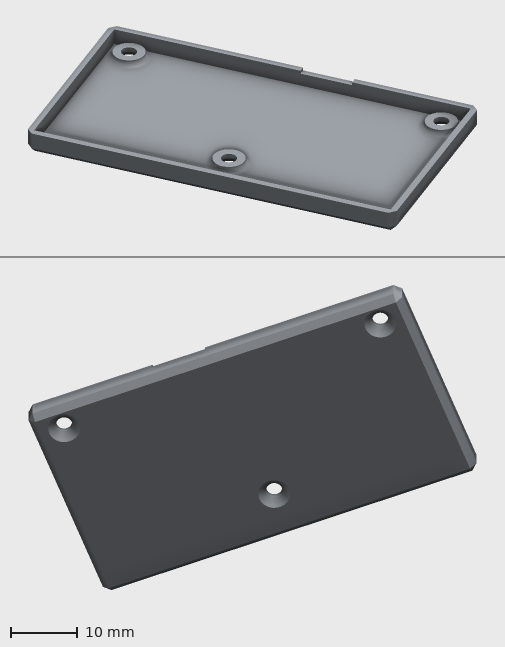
import cadquery as cq
length = 60.0
width = 33.0
height = 3.6
wall = 1.0
floor = 1.0
edge_chamfer = 1.0

boss_top_diameter = 5.0
boss_flare = 1.0
hole_spacing_x = 50.8
hole_spacing_y = 22.0
rear_hole_mid_x = -0.1
rear_hole_y = 12.9
front_hole_x = 0.0
boss_centers = [
    (rear_hole_mid_x - hole_spacing_x / 2, rear_hole_y),
    (rear_hole_mid_x + hole_spacing_x / 2, rear_hole_y),
    (front_hole_x, rear_hole_y - hole_spacing_y),
]

hole_diameter = 2.4
countersink_diameter = 2 * hole_diameter
countersink_depth = (countersink_diameter - hole_diameter) / 2

notch_length = 8.4
notch_depth = 0.5
notch_center_x = 5.5


def make_cavity():
    """Space inside the walls, above the floor."""
    return (
        cq.Workplane("XY", origin=(0, 0, floor))
        .rect(length - 2 * wall, width - 2 * wall)
        .extrude(height - floor)
    )


def make_shell():
    """Open tray with chamfered vertical corners and bottom edges."""
    block = cq.Workplane("XY").box(length, width, height, centered=(True, True, False))
    block = block.edges("|Z or <Z").chamfer(edge_chamfer)
    return block.cut(make_cavity())


def make_boss(center):
    """Boss whose concave side sweeps out into the floor, trimmed at the walls."""
    top_radius = boss_top_diameter / 2
    base_radius = top_radius + boss_flare
    top_z = floor + boss_flare
    arc_inset = boss_flare * (1 - 0.5**0.5)
    profile = (
        cq.Workplane("XZ")
        .lineTo(base_radius, 0)
        .lineTo(base_radius, floor)
        .threePointArc((top_radius + arc_inset, floor + arc_inset), (top_radius, top_z))
        .lineTo(0, top_z)
        .close()
    )
    boss = profile.revolve(360, (0, 0, 0), (0, 1, 0)).translate((*center, 0))
    return boss.intersect(make_cavity())


def make_screw_hole(center):
    """Through hole with its countersink opening on the underside."""
    hole_radius = hole_diameter / 2
    shank = cq.Workplane("XY").circle(hole_radius).extrude(height)
    countersink = cq.Solid.makeCone(countersink_diameter / 2, hole_radius, countersink_depth)
    return shank.union(cq.Workplane(countersink)).translate((*center, 0))


def make_notch():
    """Block that lowers a stretch of the rear rim across the wall thickness."""
    return (
        cq.Workplane("XY", origin=(notch_center_x, (width - wall) / 2, height - notch_depth))
        .rect(notch_length, wall)
        .extrude(notch_depth)
    )


result = make_shell().cut(make_notch())
for boss_center in boss_centers:
    result = result.union(make_boss(boss_center))
    result = result.cut(make_screw_hole(boss_center))